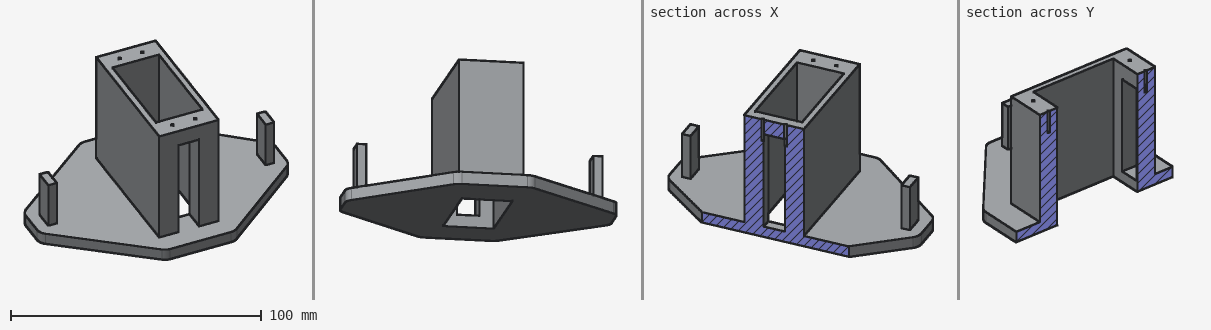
import cadquery as cq

plate_width = 80.0
plate_length = 110.0
plate_thickness = 5.1
end_flat_left = -7.2
end_flat_right = 8.0
side_flat_front = -14.2
side_flat_back = 16.1
corner_radius = 5.1

box_center_x = 1.5
box_length = 59.1
box_width = 26.2
total_height = 55.0
opening_length = 40.8
opening_width = 20.5

hole_diameter = 1.0
hole_spacing_x = 49.5
hole_spacing_y = 10.0
hole_depth = 10.0

window_width = 9.0
window_bottom = plate_thickness
window_top = 48.0

peg_center_x = 1.0
peg_length = 8.2
peg_width = 3.7
peg_height = 20.0
peg_spacing = 95.8


def block(length, width, bottom, top, center_x=0.0, center_y=0.0):
    """Upright rectangular block between two heights."""
    return (
        cq.Workplane("XY", origin=(center_x, center_y, bottom))
        .rect(length, width)
        .extrude(top - bottom)
    )


def make_plate():
    half_width = plate_width / 2
    half_length = plate_length / 2
    outline = [
        (end_flat_left, -half_length),
        (end_flat_right, -half_length),
        (half_width, side_flat_front),
        (half_width, side_flat_back),
        (end_flat_right, half_length),
        (end_flat_left, half_length),
        (-half_width, side_flat_back),
        (-half_width, side_flat_front),
    ]
    plate = cq.Workplane("XY").polyline(outline).close().extrude(plate_thickness)
    return plate.edges("|Z").fillet(corner_radius)


def make_screw_holes():
    return (
        cq.Workplane("XY", origin=(box_center_x, 0, total_height - hole_depth))
        .rarray(hole_spacing_x, hole_spacing_y, 2, 2)
        .circle(hole_diameter / 2)
        .extrude(hole_depth)
    )


def make_window():
    length = box_length / 2
    center_x = box_center_x + length / 2
    return block(length, window_width, window_bottom, window_top, center_x)


result = make_plate().union(block(box_length, box_width, 0, total_height, box_center_x))
for side in (-1, 1):
    peg_top = plate_thickness + peg_height
    peg_center_y = side * peg_spacing / 2
    result = result.union(block(peg_length, peg_width, 0, peg_top, peg_center_x, peg_center_y))

result = result.cut(block(opening_length, opening_width, 0, total_height, box_center_x))
result = result.cut(make_screw_holes()).cut(make_window())